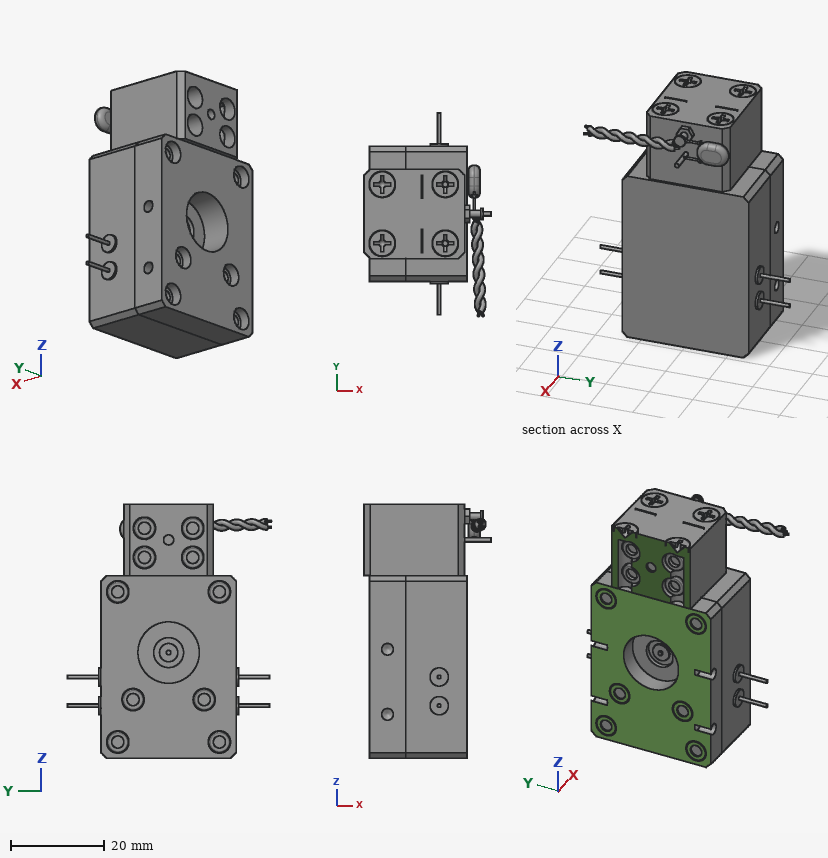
import cadquery as cq
import math


block_length = 21.0
plate_thickness = 7.8
block_width = 29.1
block_height = 39.25
block_chamfer = 1.2

box_x_min = -1.15
box_length = 21.6
box_x_max = box_x_min + box_length
box_width = 19.2
box_top = 54.6
box_chamfer = 1.3
box_mid_z = (block_height + box_top) / 2

counterbore_radius = 2.4
head_radius = 2.3
head_height = 1.65
head_fillet = 0.3
socket_radius = 1.3
socket_depth = 1.0
plate_screw_sink = 2.1
box_screw_sink = 4.75
corner_screw_y = 10.9
corner_screw_inset = 3.5
lower_screw_y = 7.65
lower_screw_z = 12.6
box_screw_y = 5.2
box_screw_mid_z = 46.3
box_screw_pitch_z = 6.3

bore_z = 22.7
bore_radius = 6.6
bore_depth = 6.75
inner_bore_radius = 3.2
contact_flange_radius = 1.95
contact_radius = 0.5
contact_length = 0.9

side_hole_radius = 1.25
side_hole_depth = 3.8
side_hole_zs = (9.45, 23.45)
drill_half_angle = math.radians(59)

feedthrough_x = 15.0
feedthrough_zs = (11.3, 17.5)
flange_radius = 1.95
flange_thickness = 0.5
lead_pin_radius = 0.4
lead_pin_tip_y = 21.75

cross_screw_y = 6.35
pointed_screw_x = 2.8
blunt_screw_x = 16.35
screw_gap_outer_radius = 2.85
screw_gap_inner_radius = 2.75
screw_gap_depth = 1.1
cross_screw_head_height = 2.95
clearance_radius = 1.55
cross_span = 3.7
cross_arm_width = 0.7
cross_core_radius = 0.75
cross_depth = 1.95
blunt_tip_radius = 0.6
slot_x = 11.35
slot_y = 5.85
slot_length = 4.95
slot_width = 0.35
slot_depth = 0.55
pilot_radius = 1.1
pilot_depth = 4.35

ground_pin_radius = 0.5
ground_pin_tip_x = 26.15

terminal_z = 52.0
nut_across_flats = 3.2
nut_thickness = 1.15
post_radius = 0.8
post_end_x = 23.9
post_head_radius = 1.25
post_head_thickness = 0.55

capacitor_x = 22.55
capacitor_y = 6.95
capacitor_z = 49.25
capacitor_length = 7.1
capacitor_height = 5.25
capacitor_thickness = 2.5
capacitor_fillet = 1.2
capacitor_lead_offset = 2.1
capacitor_lead_radius = 0.2
lead_cone_radius = 0.6
lead_cone_length = 0.75

cable_start = cq.Vector(23.05, -1.8, 49.85)
cable_end = cq.Vector(23.9, -21.0, 50.3)
cable_turns = 3
wire_radius = 0.6
wire_gap = 0.05
wire_offset = wire_radius + wire_gap / 2
conductor_radius = 0.2
bare_length = 1.15


def rod_x(radius, x_start, x_end, y, z):
    """Cylinder along +X."""
    return cq.Workplane("YZ", origin=(x_start, y, z)).circle(radius).extrude(x_end - x_start)


def rod_y(radius, y_start, y_end, x, z):
    """Cylinder along Y from y_start to y_end."""
    return cq.Workplane("XZ", origin=(x, y_start, z)).circle(radius).extrude(y_start - y_end)


def block(x_start, x_end):
    """Slice of the lower block, chamfered on its four long edges."""
    slab = cq.Workplane("YZ", origin=(x_start, 0, block_height / 2)).rect(block_width, block_height)
    return slab.extrude(x_end - x_start).edges("|X").chamfer(block_chamfer)


def add_socket_screw(part, face_x, sink, y, z):
    """Counterbore in a -X face with a socket screw head whose top lies sink below the face."""
    head_x = face_x + sink
    seat_x = head_x + head_height
    head = rod_x(head_radius, head_x, seat_x, y, z).faces("<X").edges().fillet(head_fillet)
    head = head.cut(rod_x(socket_radius, head_x, head_x + socket_depth, y, z))
    return part.cut(rod_x(counterbore_radius, face_x, seat_x, y, z)).union(head)


def side_hole(z, side):
    """Drilled hole with a conical end, going in from the +Y (side = 1) or -Y (side = -1) face."""
    tip_depth = side_hole_depth + side_hole_radius / math.tan(drill_half_angle)
    face_y = side * block_width / 2
    profile = cq.Workplane("XY", origin=(plate_thickness / 2, face_y, z)).polyline([
        (0, 0),
        (side_hole_radius, 0),
        (side_hole_radius, -side * side_hole_depth),
        (0, -side * tip_depth),
    ]).close()
    return profile.revolve(360, (0, 0, 0), (0, 1, 0))


def make_front_plate():
    plate = block(0, plate_thickness)
    plate = plate.cut(rod_x(bore_radius, 0, bore_depth, 0, bore_z))
    plate = plate.cut(rod_x(inner_bore_radius, bore_depth, plate_thickness, 0, bore_z))
    for side in (-1, 1):
        for z in side_hole_zs:
            plate = plate.cut(side_hole(z, side))
        for y, z in (
            (side * corner_screw_y, corner_screw_inset),
            (side * corner_screw_y, block_height - corner_screw_inset),
            (side * lower_screw_y, lower_screw_z),
        ):
            plate = add_socket_screw(plate, 0, plate_screw_sink, y, z)
    return plate


def make_rear_body():
    body = block(plate_thickness, block_length)
    for side in (-1, 1):
        face_y = side * block_width / 2
        for z in feedthrough_zs:
            flange = rod_y(flange_radius, face_y, face_y + side * flange_thickness, feedthrough_x, z)
            lead_pin = rod_y(lead_pin_radius, face_y, side * lead_pin_tip_y, feedthrough_x, z)
            body = body.union(flange).union(lead_pin)
    contact_flange_x = plate_thickness - flange_thickness
    contact_flange = rod_x(contact_flange_radius, contact_flange_x, plate_thickness, 0, bore_z)
    contact = rod_x(contact_radius, plate_thickness - contact_length, plate_thickness, 0, bore_z)
    return body.union(contact_flange).union(contact)


def cross_recess(x, y, tip_radius):
    """Cross-shaped recess whose floor is a cone narrowing to tip_radius."""
    top = cq.Workplane("XY", origin=(x, y, box_top))
    cross = top.rect(cross_span, cross_arm_width).extrude(-cross_depth)
    cross = cross.union(top.rect(cross_arm_width, cross_span).extrude(-cross_depth))
    cross = cross.union(top.circle(cross_core_radius).extrude(-cross_depth))
    mouth_radius = math.hypot(cross_span, cross_arm_width) / 2
    depth = cross_depth * (mouth_radius - tip_radius) / mouth_radius
    cone = cq.Solid.makeCone(mouth_radius, tip_radius, depth, cq.Vector(x, y, box_top), cq.Vector(0, 0, -1))
    return cross.intersect(cq.Workplane(obj=cone))


def clearance_hole(y):
    """Hole below the head of a pointed-recess screw, breaking into the counterbores beside it."""
    hole = cq.Workplane("XY", origin=(pointed_screw_x, y, block_height))
    return hole.circle(clearance_radius).extrude(box_top - cross_screw_head_height - block_height)


def make_box():
    box = cq.Workplane("XY", origin=((box_x_min + box_x_max) / 2, 0, block_height))
    box = box.rect(box_length, box_width).extrude(box_top - block_height)
    box = box.edges("|Z").chamfer(box_chamfer)
    box = box.cut(rod_x(pilot_radius, box_x_min, box_x_min + pilot_depth, 0, box_mid_z))
    for side in (-1, 1):
        box = box.cut(clearance_hole(side * cross_screw_y))
        for z in (box_screw_mid_z - box_screw_pitch_z / 2, box_screw_mid_z + box_screw_pitch_z / 2):
            box = add_socket_screw(box, box_x_min, box_screw_sink, side * box_screw_y, z)
        for x, tip_radius in ((pointed_screw_x, 0), (blunt_screw_x, blunt_tip_radius)):
            screw_y = side * cross_screw_y
            gap = cq.Workplane("XY", origin=(x, screw_y, box_top))
            gap = gap.circle(screw_gap_outer_radius).circle(screw_gap_inner_radius).extrude(-screw_gap_depth)
            box = box.cut(gap).cut(cross_recess(x, screw_y, tip_radius))
        slot = cq.Workplane("XY", origin=(slot_x, side * slot_y, box_top))
        box = box.cut(slot.rect(slot_width, slot_length).extrude(-slot_depth))
    return box.union(rod_x(ground_pin_radius, box_x_max, ground_pin_tip_x, 0, box_mid_z))


def make_terminal():
    """Hexagonal base on the box with a headed post."""
    nut = cq.Workplane("YZ", origin=(box_x_max, 0, terminal_z))
    nut = nut.polygon(6, nut_across_flats / math.cos(math.pi / 6)).extrude(nut_thickness)
    post = rod_x(post_radius, box_x_max, post_end_x, 0, terminal_z)
    head = rod_x(post_head_radius, post_end_x, post_end_x + post_head_thickness, 0, terminal_z)
    return nut.union(post).union(head)


def make_capacitor(terminal, box):
    """Rounded capacitor with one lead to the terminal post and one to the ground pin."""
    capacitor = cq.Workplane("YZ", origin=(capacitor_x - capacitor_thickness / 2, capacitor_y, capacitor_z))
    capacitor = capacitor.slot2D(capacitor_length, capacitor_height).extrude(capacitor_thickness)
    capacitor = capacitor.faces("<X or >X").edges().fillet(capacitor_fillet)
    for offset in (-capacitor_lead_offset, capacitor_lead_offset):
        lead_z = capacitor_z + offset
        lead = rod_y(capacitor_lead_radius, capacitor_y, 0, capacitor_x, lead_z)
        cone_tip_y = capacitor_y - capacitor_length / 2
        cone = cq.Solid.makeCone(
            capacitor_lead_radius,
            lead_cone_radius,
            lead_cone_length,
            cq.Vector(capacitor_x, cone_tip_y, lead_z),
            cq.Vector(0, 1, 0),
        )
        capacitor = capacitor.union(lead).union(cq.Workplane(obj=cone))
    return capacitor.cut(terminal).cut(box)


def make_wire(start_angle):
    """Helical insulated wire of the pair, with a straight bare conductor at each end."""
    axis = cable_end - cable_start
    lead = axis.Length / cable_turns
    tangent = cq.Vector(0, 2 * math.pi * wire_offset, lead).normalized()
    helix = cq.Wire.makeHelix(lead, axis.Length, wire_offset)
    section = cq.Workplane(cq.Plane((wire_offset, 0, 0), (1, 0, 0), tangent)).circle(wire_radius)
    wire = section.sweep(cq.Workplane(obj=helix), isFrenet=True)
    for z, direction in ((0, tangent * -1), (axis.Length, tangent)):
        conductor = cq.Workplane(cq.Plane((wire_offset, 0, z), (1, 0, 0), direction))
        wire = wire.union(conductor.circle(conductor_radius).extrude(bare_length))
    wire = wire.rotate((0, 0, 0), (0, 0, 1), start_angle)
    across = cq.Vector(1, 0, 0)
    return wire.val().moved(cq.Plane(cable_start, axis.cross(across), axis).location)


front_plate = make_front_plate()
rear_body = make_rear_body()
box = make_box()
terminal = make_terminal()
capacitor = make_capacitor(terminal, box)
wires = [make_wire(start_angle) for start_angle in (0, 180)]

result = cq.Compound.makeCompound([
    front_plate.val(),
    rear_body.val(),
    box.val(),
    terminal.val(),
    capacitor.val(),
    *wires,
])